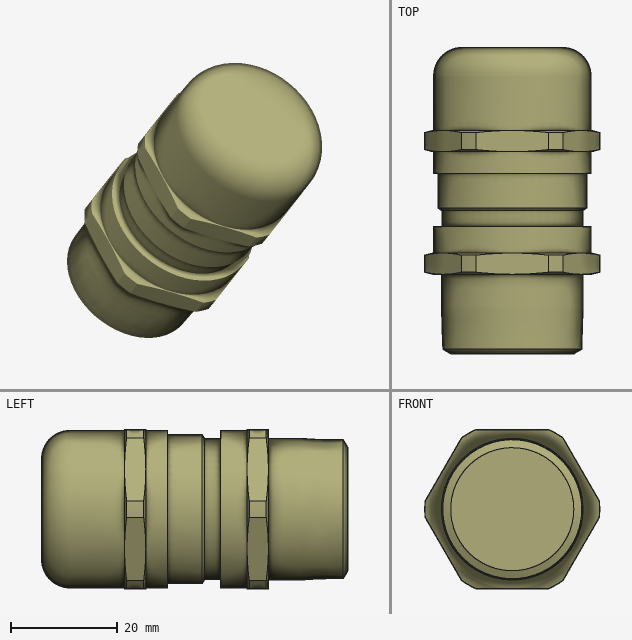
import math

import cadquery as cq

thread_tip_radius = 11.6
thread_front_radius = 13.1
thread_radius = 13.35
neck_radius = 13.3
sleeve_radius = 14.05
collar_radius = 14.85
dome_radius = 5.4

thread_chamfer_length = 0.9
thread_taper_end = 8.8
body_hex_start = 15.0
collar_end = 24.0
sleeve_start = 27.0
sleeve_chamfer_length = 0.5
cap_start = 34.0
cap_hex_start = 38.1
overall_length = 57.74

hex_across_flats = 30.0
hex_across_corners = 33.0
hex_thickness = 4.0
hex_chamfer_length = 0.4


def turned_body():
    """Solid of revolution: tapered thread, collar, neck, sleeve and domed cap."""
    dome_start = overall_length - dome_radius
    profile = (
        cq.Workplane("XY")
        .moveTo(0, 0)
        .lineTo(thread_tip_radius, 0)
        .lineTo(thread_front_radius, thread_chamfer_length)
        .lineTo(thread_radius, thread_taper_end)
        .lineTo(thread_radius, body_hex_start)
        .lineTo(collar_radius, body_hex_start)
        .lineTo(collar_radius, collar_end)
        .lineTo(neck_radius, collar_end)
        .lineTo(neck_radius, sleeve_start)
        .lineTo(sleeve_radius, sleeve_start + sleeve_chamfer_length)
        .lineTo(sleeve_radius, cap_start)
        .lineTo(collar_radius, cap_start)
        .lineTo(collar_radius, dome_start)
        .radiusArc((collar_radius - dome_radius, overall_length), -dome_radius)
        .lineTo(0, overall_length)
        .close()
    )
    return profile.revolve(360, (0, 0, 0), (0, 1, 0))


def wrench_hex(start):
    """Hexagon with flats facing +Z and -Z, its sharp corners turned round and chamfered on both faces."""
    end = start + hex_thickness
    face_radius = hex_across_flats / 2
    corner_radius = hex_across_corners / 2
    vertex_diameter = hex_across_flats / math.cos(math.pi / 6)
    prism = (
        cq.Workplane("XZ", origin=(0, start, 0))
        .polygon(6, vertex_diameter)
        .extrude(-hex_thickness)
    )
    turned_envelope = (
        cq.Workplane("XY")
        .moveTo(0, start)
        .lineTo(face_radius, start)
        .lineTo(corner_radius, start + hex_chamfer_length)
        .lineTo(corner_radius, end - hex_chamfer_length)
        .lineTo(face_radius, end)
        .lineTo(0, end)
        .close()
        .revolve(360, (0, 0, 0), (0, 1, 0))
    )
    return prism.intersect(turned_envelope)


result = turned_body()
for hex_start in (body_hex_start, cap_hex_start):
    result = result.union(wrench_hex(hex_start))